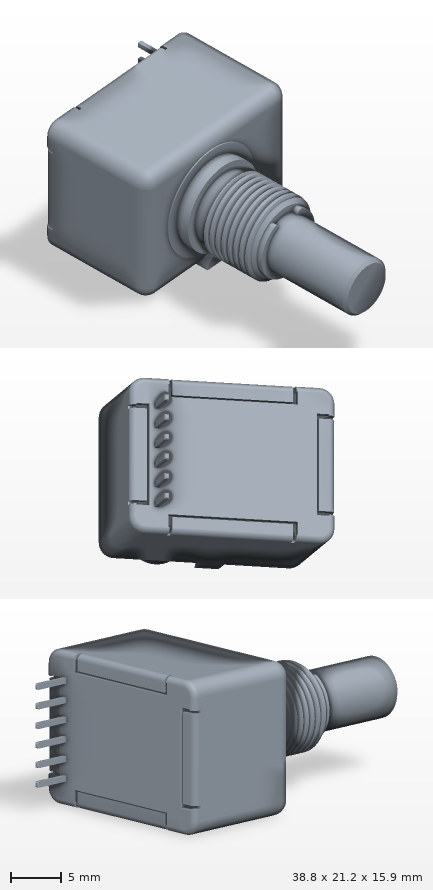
import cadquery as cq
import math

OVERALL_LENGTH = 38.75

HOUSING_LENGTH = 13.72
HOUSING_WIDTH = 21.2
HOUSING_HEIGHT = 15.9
HOUSING_CENTRE_Y = 1.12
CORNER_RADIUS = 1.55
BACK_EDGE_RADIUS = 0.62

PIN_COUNT = 6
PIN_LENGTH = 4.0
PIN_WIDTH_Y = 0.45
PIN_WIDTH_Z = 0.6
PIN_PITCH = 2.0
PIN_TIP_CHAMFER = 0.1
PIN_EMBED = 1.15
PIN_EDGE_DISTANCE = 2.7

TAB_LENGTH_LONG_SIDE = 12.5
TAB_LENGTH_SHORT_SIDE = 9.45
TAB_REACH = 1.7
CHANNEL_BAR_WIDTH = 0.25
CHANNEL_LEG_WIDTH = 0.45
CHANNEL_DEPTH = 0.75
MOUTH_WIDTH = 0.35
MOUTH_REACH = 1.0
MOUTH_DEPTH = 1.05
TAB_RECESS = 0.1

FACE_DISC_THICKNESS = 0.15
FACE_DISC_DIAMETER = HOUSING_HEIGHT - 2 * CORNER_RADIUS
LUG_RADIUS = 1.25
LUG_PROJECTION = 0.78

BOSS_DIAMETER = 10.4
BOSS_LENGTH = 1.55
NECK_DIAMETER = 8.35
NECK_LENGTH = 1.3
THREAD_DIAMETER = 9.5
THREAD_LENGTH = 6.82
THREAD_TURNS = 8.6
THREAD_PITCH = THREAD_LENGTH / THREAD_TURNS
THREAD_DEPTH = 0.35
THREAD_ROOT_FLAT = 0.15
THREAD_CREST_FLAT = 0.3
GROOVE_OVERCUT = 0.08
GROOVE_LEAD = 0.85
LEAD_IN_LENGTH = 0.4
RUN_OUT_LENGTH = 0.6

SHAFT_DIAMETER = 6.35
SHAFT_CHAMFER = 0.35
CLIP_OUTER_RADIUS = 3.95
CLIP_INNER_RADIUS = 2.9
CLIP_THICKNESS = 0.65
CLIP_GAP_HALF_ANGLE = 33.0

disc_end = HOUSING_LENGTH + FACE_DISC_THICKNESS
boss_end = disc_end + BOSS_LENGTH
thread_start = boss_end + NECK_LENGTH
thread_end = thread_start + THREAD_LENGTH
shaft_end = OVERALL_LENGTH - PIN_LENGTH


def cylinder(diameter, start, end):
    """Round bar on the shaft axis between two X stations."""
    return cq.Workplane("YZ").workplane(offset=start).circle(diameter / 2).extrude(end - start)


def block(x_range, y_range, z_range):
    """Box given by its limits along each axis."""
    lengths = [high - low for low, high in (x_range, y_range, z_range)]
    corner = (x_range[0], y_range[0], z_range[0])
    return cq.Workplane("XY").box(*lengths, centered=False).translate(corner)


def make_housing():
    housing = (
        cq.Workplane("XY")
        .box(HOUSING_LENGTH, HOUSING_WIDTH, HOUSING_HEIGHT)
        .translate((HOUSING_LENGTH / 2, HOUSING_CENTRE_Y, 0))
    )
    housing = housing.edges("|X or >X").fillet(CORNER_RADIUS)
    return housing.faces("<X").edges().fillet(BACK_EDGE_RADIUS)


def make_tab_channel(tab_length, side_distance):
    """Channel around a tab on the +Z side, which lies side_distance from the housing's centre line."""
    half_tab = tab_length / 2
    half_outer = half_tab + CHANNEL_LEG_WIDTH
    tab_root = side_distance - TAB_REACH
    channel_depth = (0, CHANNEL_DEPTH)
    channel = block(channel_depth, (-half_outer, half_outer), (tab_root - CHANNEL_BAR_WIDTH, tab_root))
    mouth_start = side_distance - MOUTH_REACH
    leg_end = side_distance - BACK_EDGE_RADIUS
    for side in (-1, 1):
        leg_limits = sorted((side * half_tab, side * half_outer))
        channel = channel.union(block(channel_depth, leg_limits, (tab_root, leg_end)))
        mouth = (
            cq.Workplane("XZ", origin=(0, side * (half_tab + MOUTH_WIDTH / 2), 0))
            .moveTo(0, mouth_start)
            .lineTo(CHANNEL_DEPTH, mouth_start)
            .lineTo(MOUTH_DEPTH, side_distance)
            .lineTo(0, side_distance)
            .close()
            .extrude(MOUTH_WIDTH / 2, both=True)
        )
        channel = channel.union(mouth)
    return channel


def make_tab_region(tab_length, side_distance):
    """Space taken by a tab on the +Z side, as deep as the rounded back edge once recessed."""
    return block(
        (0, BACK_EDGE_RADIUS + TAB_RECESS),
        (-tab_length / 2, tab_length / 2),
        (side_distance - TAB_REACH, side_distance),
    )


def place_on_side(shape, angle):
    """Turn a shape made for the +Z side onto another side of the housing."""
    return shape.rotate((0, 0, 0), (1, 0, 0), angle).translate((0, HOUSING_CENTRE_Y, 0))


def cut_tabs(housing):
    """Cut the channels and set each tab back, keeping its rounded outer edge."""
    quarter_turns = 4
    recessed_housing = housing.translate((TAB_RECESS, 0, 0))
    for turn in range(quarter_turns):
        if turn % 2 == 0:
            tab_size = (TAB_LENGTH_LONG_SIDE, HOUSING_HEIGHT / 2)
        else:
            tab_size = (TAB_LENGTH_SHORT_SIDE, HOUSING_WIDTH / 2)
        angle = 360 / quarter_turns * turn
        channel = place_on_side(make_tab_channel(*tab_size), angle)
        region = place_on_side(make_tab_region(*tab_size), angle)
        housing = housing.cut(channel).cut(region.cut(recessed_housing))
    return housing


def make_pins():
    pin_y = HOUSING_CENTRE_Y + HOUSING_WIDTH / 2 - PIN_EDGE_DISTANCE
    bar_length = PIN_LENGTH + PIN_EMBED
    pin = cq.Workplane("XY").box(bar_length, PIN_WIDTH_Y, PIN_WIDTH_Z)
    pin = pin.faces("<X").chamfer(PIN_TIP_CHAMFER)
    pin = pin.translate((PIN_EMBED - bar_length / 2, pin_y, 0))
    heights = [(index - (PIN_COUNT - 1) / 2) * PIN_PITCH for index in range(PIN_COUNT)]
    return [pin.translate((0, 0, height)) for height in heights]


def make_lug():
    """Half-round anti-rotation lug whose flat side is flush with the underside of the housing."""
    bottom = -HOUSING_HEIGHT / 2
    return (
        cq.Workplane("YZ", origin=(HOUSING_LENGTH - CORNER_RADIUS, 0, 0))
        .moveTo(-LUG_RADIUS, bottom)
        .threePointArc((0, bottom + LUG_RADIUS), (LUG_RADIUS, bottom))
        .close()
        .extrude(CORNER_RADIUS + LUG_PROJECTION)
    )


def make_threaded_barrel():
    """Barrel tapered at both ends, with a right-hand helical groove."""
    crest_radius = THREAD_DIAMETER / 2
    root_radius = crest_radius - THREAD_DEPTH
    end_radius = NECK_DIAMETER / 2
    envelope = (
        cq.Workplane("XY")
        .moveTo(thread_start, 0)
        .lineTo(thread_start, end_radius)
        .lineTo(thread_start + LEAD_IN_LENGTH, crest_radius)
        .lineTo(thread_end - RUN_OUT_LENGTH, crest_radius)
        .lineTo(thread_end, end_radius)
        .lineTo(thread_end, 0)
        .close()
        .revolve(360, (0, 0, 0), (1, 0, 0))
    )
    groove_start = thread_start - GROOVE_LEAD
    groove_turns = math.ceil((THREAD_LENGTH + GROOVE_LEAD) / THREAD_PITCH)
    helix = cq.Wire.makeHelix(
        THREAD_PITCH,
        groove_turns * THREAD_PITCH,
        root_radius,
        center=cq.Vector(groove_start, 0, 0),
        dir=cq.Vector(1, 0, 0),
    )
    root_half = THREAD_ROOT_FLAT / 2
    crest_half = (THREAD_PITCH - THREAD_CREST_FLAT) / 2
    cut_depth = THREAD_DEPTH + GROOVE_OVERCUT
    mouth_half = root_half + (crest_half - root_half) * cut_depth / THREAD_DEPTH
    start = helix.startPoint()
    profile_plane = cq.Plane(
        origin=start.toTuple(),
        xDir=(1, 0, 0),
        normal=cq.Vector(1, 0, 0).cross(cq.Vector(0, start.y, start.z)).toTuple(),
    )
    groove = (
        cq.Workplane(profile_plane)
        .moveTo(-root_half, 0)
        .lineTo(root_half, 0)
        .lineTo(mouth_half, cut_depth)
        .lineTo(-mouth_half, cut_depth)
        .close()
        .sweep(cq.Workplane(helix), isFrenet=True)
    )
    bar_end = groove_start + (groove_turns + 1) * THREAD_PITCH
    return cylinder(THREAD_DIAMETER, boss_end, bar_end).cut(groove).intersect(envelope)


def make_clip():
    """C-shaped clip, open at the top, with round ends."""
    middle_radius = (CLIP_OUTER_RADIUS + CLIP_INNER_RADIUS) / 2
    end_diameter = CLIP_OUTER_RADIUS - CLIP_INNER_RADIUS
    gap_angle = math.radians(CLIP_GAP_HALF_ANGLE)
    end_y = middle_radius * math.sin(gap_angle)
    end_z = middle_radius * math.cos(gap_angle)
    slope_reach = 2 * CLIP_OUTER_RADIUS
    plane = cq.Workplane("YZ").workplane(offset=thread_end)
    ring = plane.circle(CLIP_OUTER_RADIUS).circle(CLIP_INNER_RADIUS).extrude(CLIP_THICKNESS)
    gap = (
        plane.moveTo(0, 0)
        .lineTo(slope_reach * math.sin(gap_angle), slope_reach * math.cos(gap_angle))
        .lineTo(-slope_reach * math.sin(gap_angle), slope_reach * math.cos(gap_angle))
        .close()
        .extrude(CLIP_THICKNESS)
    )
    end_centres = [(-end_y, end_z), (end_y, end_z)]
    ends = plane.pushPoints(end_centres).circle(end_diameter / 2).extrude(CLIP_THICKNESS)
    return ring.cut(gap).union(ends)


result = cut_tabs(make_housing())
for pin in make_pins():
    result = result.union(pin)
result = result.union(make_lug())
result = result.union(cylinder(FACE_DISC_DIAMETER, HOUSING_LENGTH, disc_end))
result = result.union(cylinder(BOSS_DIAMETER, disc_end, boss_end))
result = result.union(cylinder(NECK_DIAMETER, boss_end, thread_start))
result = result.union(make_threaded_barrel())
shaft = cylinder(SHAFT_DIAMETER, thread_end, shaft_end).faces(">X").chamfer(SHAFT_CHAMFER)
result = result.union(shaft.union(make_clip()))